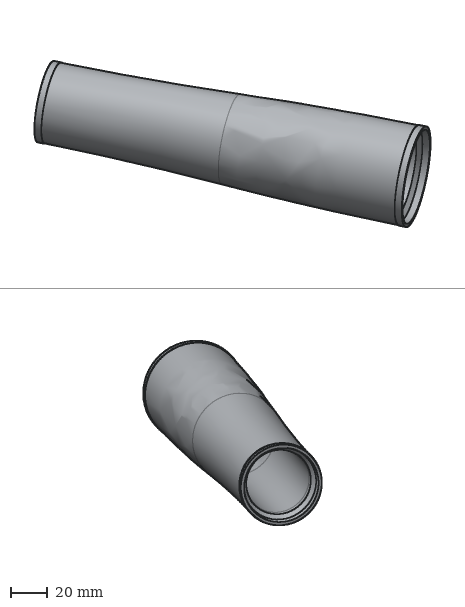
import cadquery as cq
import math

LENGTH = 210.0
RIM_DIAMETER = 56.0
SMALL_RADIUS = 22.5
COLLAR_LENGTH = 4.0
COLLAR_STEP = 0.2
LARGE_RADIUS = RIM_DIAMETER / 2 - COLLAR_STEP

WALL = 4.5
SOCKET_WALL = 1.7
SOCKET_TAPER = 0.5
SOCKET_DEPTH = 4.0
THROAT_LENGTH = 2.7
LAND_LENGTH = 4.6
BORE_MARGIN = SOCKET_DEPTH + THROAT_LENGTH + LAND_LENGTH


def arc_middle(flat_x, flat_radius, join_x, join_radius):
    """Middle of an arc parallel to the axis at its flat end."""
    run = join_x - flat_x
    rise = join_radius - flat_radius
    arc_radius = (run**2 + rise**2) / (2 * abs(rise))
    half_angle = math.asin(abs(run) / arc_radius) / 2
    middle_x = flat_x + math.copysign(arc_radius * math.sin(half_angle), run)
    middle_radius = flat_radius + math.copysign(arc_radius * (1 - math.cos(half_angle)), rise)
    return middle_x, middle_radius


def s_shaped_solid(margin, small_radius, large_radius):
    """Solid of revolution whose side is an S of two equal tangent arcs."""
    start_x = margin
    end_x = LENGTH - margin
    join = (LENGTH / 2, (small_radius + large_radius) / 2)
    return (
        cq.Workplane("XY")
        .moveTo(start_x, 0)
        .lineTo(start_x, small_radius)
        .threePointArc(arc_middle(start_x, small_radius, *join), join)
        .threePointArc(arc_middle(end_x, large_radius, *join), (end_x, large_radius))
        .lineTo(end_x, 0)
        .close()
        .revolve(360, (0, 0, 0), (1, 0, 0))
    )


def collar(end_x, inward, body_radius):
    """Slightly raised band at one end of the body."""
    return (
        cq.Workplane("YZ", origin=(end_x, 0, 0))
        .circle(body_radius + COLLAR_STEP)
        .extrude(inward * COLLAR_LENGTH)
    )


def end_socket(end_x, inward, body_radius):
    """Tapered socket, then a steeper cone, then a straight land up to the bore."""
    socket_radius = body_radius - SOCKET_WALL
    socket_end = end_x + inward * SOCKET_DEPTH
    throat_end = socket_end + inward * THROAT_LENGTH
    land_end = end_x + inward * BORE_MARGIN
    return (
        cq.Workplane("XY")
        .moveTo(end_x, 0)
        .lineTo(end_x, socket_radius)
        .lineTo(socket_end, socket_radius - SOCKET_TAPER)
        .lineTo(throat_end, body_radius - WALL)
        .lineTo(land_end, body_radius - WALL)
        .lineTo(land_end, 0)
        .close()
        .revolve(360, (0, 0, 0), (1, 0, 0))
    )


body = s_shaped_solid(COLLAR_LENGTH, SMALL_RADIUS, LARGE_RADIUS)
bore = s_shaped_solid(BORE_MARGIN, SMALL_RADIUS - WALL, LARGE_RADIUS - WALL)

ENDS = ((0, 1, SMALL_RADIUS), (LENGTH, -1, LARGE_RADIUS))
for end in ENDS:
    body = body.union(collar(*end))
for end in ENDS:
    body = body.cut(end_socket(*end))

result = body.cut(bore)